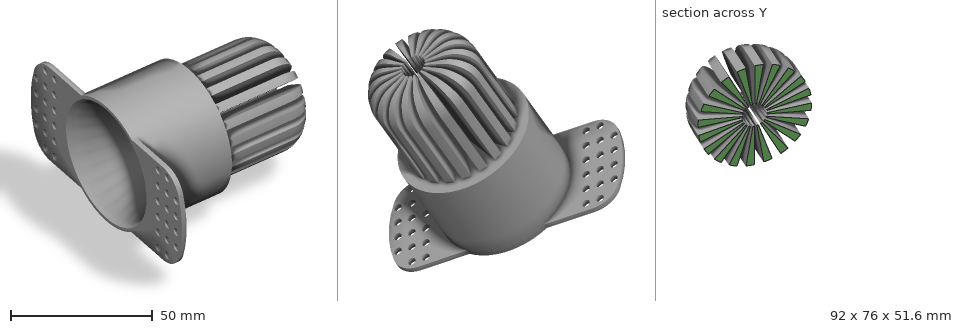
import cadquery as cq
import math

body_diameter = 51.6
body_length = 36.0
total_length = 76.0

cone_front_radius = 24.5
cone_back_radius = 10.5
cone_depth = 30.0

plate_radius = 46.0
plate_height = 41.8
plate_thickness = 2.0
plate_corner_radius = 10.0

hole_diameter = 3.0
row_pitch = 7.0
hole_columns = [(31.5, 6, 0.1), (37.0, 6, 0.3), (42.4, 4, 0.5)]

fin_radius = 21.5
fin_end_radius = 10.0
bore_radius = 4.6
fin_count = 20
fin_angle = 180.0 / fin_count


def cylinder_along_y(radius, start, end):
    """Solid cylinder on the Y axis between two Y positions."""
    return cq.Workplane("XZ", origin=(0, start, 0)).circle(radius).extrude(start - end)


def make_plate():
    """Flat-sided disc with rounded corners."""
    disc = cylinder_along_y(plate_radius, 0, plate_thickness)
    band = cq.Workplane("XY").box(2 * plate_radius, 2 * plate_thickness, plate_height)
    return disc.intersect(band).edges("|Y").fillet(plate_corner_radius)


def make_plate_holes():
    """Mirrored columns of round through holes at the two ends of the plate."""
    centers = []
    for distance, rows, shift in hole_columns:
        for row in range(rows):
            height = (row - (rows - 1) / 2) * row_pitch + shift
            centers += [(-distance, height), (distance, height)]
    return cq.Workplane("XZ").pushPoints(centers).circle(hole_diameter / 2).extrude(-plate_thickness)


def make_cone():
    """Tapered opening, widest at the front face."""
    profile = [(0, 0), (cone_front_radius, 0), (cone_back_radius, cone_depth), (0, cone_depth)]
    return cq.Workplane("XY").polyline(profile).close().revolve(360, (0, 0, 0), (0, 1, 0))


def make_slot(index):
    """Wedge gap beside one fin, opening outward from the axis."""
    reach = 2 * fin_radius
    first = math.radians(2 * index * fin_angle)
    last = first + math.radians(fin_angle)
    outline = [
        (0, 0),
        (reach * math.cos(first), reach * math.sin(first)),
        (reach * math.cos(last), reach * math.sin(last)),
    ]
    sketch = cq.Workplane("XZ", origin=(0, body_length, 0)).polyline(outline).close()
    return sketch.extrude(body_length - total_length)


def make_heat_sink():
    """Ring of radial fins around an open bore, with the outer rear edge rounded."""
    sink = cylinder_along_y(fin_radius, body_length, total_length)
    sink = sink.faces(">Y").edges().fillet(fin_end_radius)
    for index in range(fin_count):
        sink = sink.cut(make_slot(index))
    return sink.cut(cylinder_along_y(bore_radius, body_length, total_length))


housing = cylinder_along_y(body_diameter / 2, 0, body_length)
plate = make_plate().cut(make_plate_holes())
result = plate.union(housing).cut(make_cone()).union(make_heat_sink())